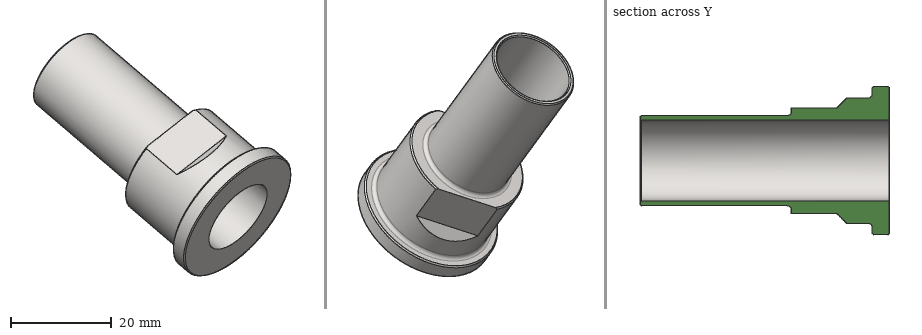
import cadquery as cq

TOTAL_LENGTH = 49.5
FLANGE_WIDTH = 3.45
BODY_LENGTH = 16.05
TUBE_LENGTH = TOTAL_LENGTH - FLANGE_WIDTH - BODY_LENGTH

BORE_DIAMETER = 16.0
TUBE_DIAMETER = 18.0
BODY_DIAMETER = 25.0
FLANGE_DIAMETER = 29.5

SHOULDER_FILLET = 0.8
EDGE_CHAMFER = 0.3
END_CHAMFER = 0.25

ACROSS_FLATS = 21.0
FLAT_LENGTH = 9.05

body_start = TUBE_LENGTH
flange_start = body_start + BODY_LENGTH


def cylinder(start, length, diameter):
    """Cylinder on the X axis, from start toward +X."""
    return cq.Workplane("YZ", origin=(start, 0, 0)).circle(diameter / 2).extrude(length)


def shoulder_fillet(shoulder_x, diameter):
    """Concave ring easing a cylinder into the shoulder on its +X side."""
    radius = diameter / 2
    return (
        cq.Workplane("XY")
        .moveTo(shoulder_x - SHOULDER_FILLET, radius)
        .radiusArc((shoulder_x, radius + SHOULDER_FILLET), -SHOULDER_FILLET)
        .lineTo(shoulder_x, radius - SHOULDER_FILLET)
        .lineTo(shoulder_x - SHOULDER_FILLET, radius - SHOULDER_FILLET)
        .close()
        .revolve(360, (0, 0, 0), (1, 0, 0))
    )


def flat_cutter():
    """Material removed above the upper flat, ending in a 45 degree ramp."""
    flat_height = ACROSS_FLATS / 2
    cut_height = FLANGE_DIAMETER / 2 - flat_height
    flat_end = body_start + FLAT_LENGTH
    return (
        cq.Workplane("XZ")
        .moveTo(body_start, flat_height)
        .lineTo(flat_end, flat_height)
        .lineTo(flat_end + cut_height, flat_height + cut_height)
        .lineTo(body_start, flat_height + cut_height)
        .close()
        .extrude(FLANGE_DIAMETER / 2, both=True)
    )


tube = cylinder(0, TUBE_LENGTH, TUBE_DIAMETER).faces("<X").chamfer(END_CHAMFER)
body = cylinder(body_start, BODY_LENGTH, BODY_DIAMETER).faces("<X").chamfer(EDGE_CHAMFER)
flange = (
    cylinder(flange_start, FLANGE_WIDTH, FLANGE_DIAMETER)
    .faces("<X").chamfer(EDGE_CHAMFER)
    .faces(">X").chamfer(END_CHAMFER)
)

upper_cut = flat_cutter()
body = body.cut(upper_cut).cut(upper_cut.mirror("XY"))

result = tube.union(body).union(flange)
result = result.union(shoulder_fillet(body_start, TUBE_DIAMETER))
result = result.union(shoulder_fillet(flange_start, BODY_DIAMETER))

result = result.cut(cylinder(0, TOTAL_LENGTH, BORE_DIAMETER))
result = result.faces("<X").edges(cq.selectors.RadiusNthSelector(0)).chamfer(END_CHAMFER)